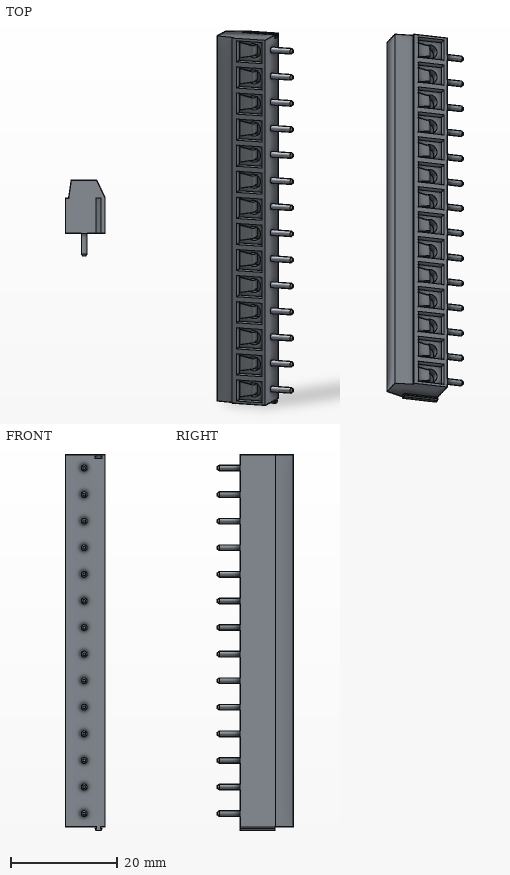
import cadquery as cq

pole_count = 14
pitch = 5.0
body_width = 7.5
body_depth = 10.0
body_length = pole_count * pitch

wire_side_shoulder_y = 6.6
wire_side_ledge = 0.6
plain_side_shoulder_y = 6.7
back_left_x = 1.1
back_right_x = 5.9

window_depth = 1.65
window_start_y = 0.65
window_end_y = 5.75
window_height = 4.05
pole_center_offset = pitch / 2

hole_center_y = 2.85
hole_radius = 1.35
hole_depth = 2.0
guard_rise = 0.3
guard_tip_y = 2.85
guard_root_y = 5.65
guard_tip_half_height = 0.95
guard_root_half_height = 1.5
guard_bend_radius = 0.55
guard_face_x = window_depth - guard_rise

pin_x = 3.55
pin_diameter = 1.1
pin_length = 4.3
pin_embedment = 1.0
pin_tip_length = 0.4
pin_tip_inset = 0.3

joint_x = 6.25
joint_length = wire_side_shoulder_y
joint_neck_half_width = 0.45
joint_head_half_width = 0.66
tongue_height = 0.68
tongue_neck_height = 0.32
groove_depth = tongue_height
groove_neck_depth = tongue_neck_height


def make_body():
    outline = [
        (0, 0),
        (body_width, 0),
        (body_width, plain_side_shoulder_y),
        (back_right_x, body_depth),
        (back_left_x, body_depth),
        (wire_side_ledge, wire_side_shoulder_y),
        (0, wire_side_shoulder_y),
    ]
    return cq.Workplane("XY").polyline(outline).close().extrude(body_length)


def box_between(low, high):
    size = [b - a for a, b in zip(low, high)]
    return cq.Workplane("XY").box(*size, centered=False).translate(low)


def make_guard_plate():
    """Tapered plate standing proud of the window floor, both ends bent inward with rounded edges."""
    plate_end_x = window_depth + hole_depth
    section = (
        cq.Workplane("XY", origin=(0, 0, -guard_root_half_height))
        .moveTo(plate_end_x, guard_tip_y)
        .lineTo(guard_face_x + guard_bend_radius, guard_tip_y)
        .radiusArc((guard_face_x, guard_tip_y + guard_bend_radius), guard_bend_radius)
        .lineTo(guard_face_x, guard_root_y - guard_bend_radius)
        .radiusArc((guard_face_x + guard_bend_radius, guard_root_y), guard_bend_radius)
        .lineTo(plate_end_x, guard_root_y)
        .close()
        .extrude(2 * guard_root_half_height)
    )
    tapered_outline = (
        cq.Workplane("YZ", origin=(guard_face_x, 0, 0))
        .moveTo(guard_tip_y, -guard_tip_half_height)
        .lineTo(guard_root_y, -guard_root_half_height)
        .lineTo(guard_root_y, guard_root_half_height)
        .lineTo(guard_tip_y, guard_tip_half_height)
        .close()
        .extrude(plate_end_x - guard_face_x)
    )
    return section.intersect(tapered_outline)


def make_pole_cavity():
    """Material removed for one pole, with the middle of the pole at Z = 0."""
    window = box_between(
        (0, window_start_y, -window_height / 2),
        (window_depth, window_end_y, window_height / 2),
    )
    wire_hole = (
        cq.Workplane("YZ", origin=(window_depth, 0, 0))
        .center(hole_center_y, 0)
        .circle(hole_radius)
        .extrude(hole_depth)
    )
    return window.union(wire_hole).cut(make_guard_plate())


def make_pin():
    """Pin along -Y with a tapered tip, centred on Z = 0."""
    radius = pin_diameter / 2
    return (
        cq.Workplane("XY")
        .moveTo(0, pin_embedment)
        .lineTo(-radius, pin_embedment)
        .lineTo(-radius, pin_tip_length - pin_length)
        .lineTo(pin_tip_inset - radius, -pin_length)
        .lineTo(0, -pin_length)
        .close()
        .revolve(360, (0, 0, 0), (0, 1, 0))
        .translate((pin_x, 0, 0))
    )


def make_tongue():
    right_side = [
        (joint_neck_half_width, 0),
        (joint_neck_half_width, -tongue_neck_height),
        (joint_head_half_width, -tongue_neck_height),
        (joint_neck_half_width, -tongue_height),
    ]
    left_side = [(-x, z) for x, z in reversed(right_side)]
    return (
        cq.Workplane("XZ", origin=(joint_x, 0, 0))
        .polyline(right_side + left_side)
        .close()
        .extrude(-joint_length)
    )


def make_groove():
    neck = box_between(
        (joint_x - joint_neck_half_width, 0, body_length - groove_depth),
        (joint_x + joint_neck_half_width, joint_length, body_length),
    )
    head = box_between(
        (joint_x - joint_head_half_width, 0, body_length - groove_depth),
        (joint_x + joint_head_half_width, joint_length, body_length - groove_neck_depth),
    )
    return neck.union(head)


result = make_body().cut(make_groove()).union(make_tongue())

pole_cavity = make_pole_cavity()
pin = make_pin()
for pole in range(pole_count):
    pole_position = (0, 0, pole_center_offset + pole * pitch)
    result = result.cut(pole_cavity.translate(pole_position))
    result = result.union(pin.translate(pole_position))